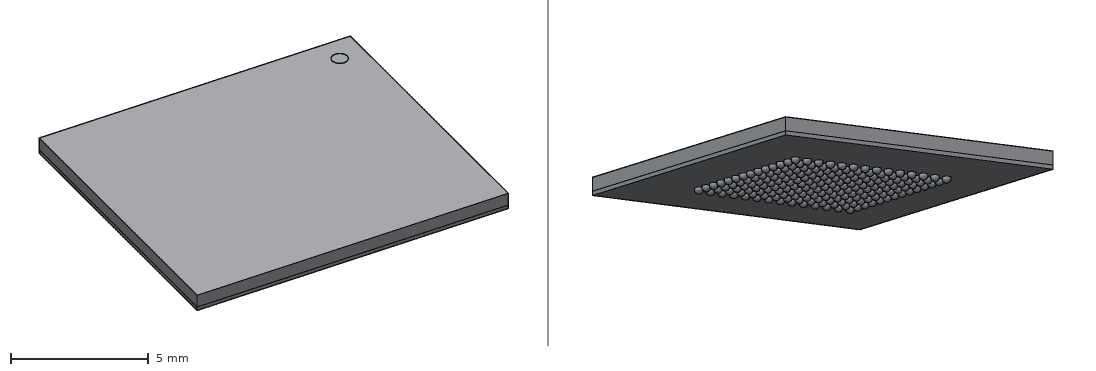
import cadquery as cq
import math

package_width = 11.5
package_length = 13.0
package_height = 0.91

cap_height = 0.52
ball_height = 0.23
substrate_height = package_height - cap_height - ball_height
substrate_bottom = ball_height
cap_bottom = substrate_bottom + substrate_height

balls_per_side = 14
ball_span = 6.5
ball_pitch = ball_span / (balls_per_side - 1)
ball_diameter = 0.32
ball_radius = ball_diameter / 2
ball_flat_radius = math.sqrt(ball_radius**2 - (ball_height - ball_radius) ** 2)
first_ball = -ball_span / 2

mark_diameter = 0.62
mark_depth = 0.01
mark_edge_distance = 1.04


def plate(height, bottom):
    """A plate with the package outline, standing on the given level."""
    return (
        cq.Workplane("XY")
        .workplane(offset=bottom)
        .rect(package_width, package_length)
        .extrude(height)
    )


def make_cap():
    """Moulded cap with the pin-one mark in its top face."""
    mark = (
        cq.Workplane("XY")
        .workplane(offset=package_height - mark_depth)
        .center(mark_edge_distance - package_width / 2, package_length / 2 - mark_edge_distance)
        .circle(mark_diameter / 2)
        .extrude(mark_depth)
    )
    return plate(cap_height, cap_bottom).cut(mark)


def make_balls():
    """Solder balls, each flattened where it meets the underside of the substrate."""
    ball = (
        cq.Workplane("XZ")
        .moveTo(0, 0)
        .threePointArc((ball_radius, ball_radius), (ball_flat_radius, ball_height))
        .lineTo(0, ball_height)
        .close()
        .revolve(360, (0, 0), (0, 1))
        .val()
    )
    columns = [first_ball + ball_pitch * i for i in range(balls_per_side)]
    return [ball.translate(cq.Vector(x, y, 0)) for x in columns for y in columns]


def make_substrate():
    """Substrate with its solder balls joined to its underside."""
    return plate(substrate_height, substrate_bottom).val().fuse(*make_balls())


cap = make_cap()
substrate = make_substrate()
result = cq.Compound.makeCompound([cap.val(), *substrate.Solids()])